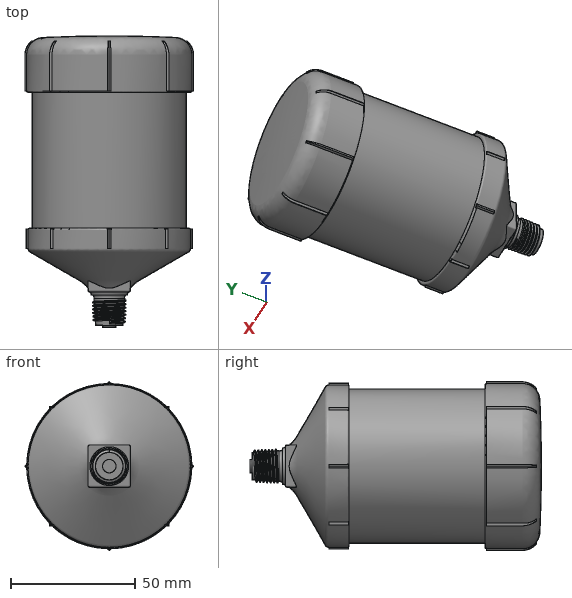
import cadquery as cq
import math

OVERALL_LENGTH = 117.35
TUBE_DIAMETER = 62.15

CAP_RADIUS = 33.25
CAP_BOTTOM_Y = 94.65
CAP_CROWN_DROP = 0.95
CAP_CORNER_RADIUS = 7.0
CAP_RIM_FILLET = 0.5
CAP_SHOULDER_Y = OVERALL_LENGTH - CAP_CROWN_DROP
CAP_CORNER_Y = CAP_SHOULDER_Y - CAP_CORNER_RADIUS

RING_RADIUS = 32.7
RING_TOP_Y = 39.95
RING_TOP_FILLET = 0.75
RING_CONE_FILLET = 1.63
CONE_ANGLE = 60.0
RING_CONE_CORNER_Y = 30.8

BLEND_START_RADIUS = 12.0
BLEND_RADIUS = 12.0
BLEND_END_ANGLE = 57.0

RIB_COUNT = 8
RIB_HEIGHT = 0.75
RIB_ROOT_DEPTH = 1.0
RING_RIB_TOP_GAP = 0.25
CAP_RIB_RISE = 5.9
CAP_RIB_SWEEP_ANGLE = 80.0

SQUARE_WIDTH = 17.0
SQUARE_BOTTOM_Y = 14.25
SQUARE_TOP_Y = 18.8
SQUARE_FILLET = 0.65

COLLAR_TOP_RADIUS = 7.8
COLLAR_RADIUS = 7.3
COLLAR_BOTTOM_Y = 13.0
COLLAR_FLARE_RADIUS = 1.6
NECK_TOP_RADIUS = 6.7
NECK_BOTTOM_Y = 11.6
NECK_GROOVE_RADIUS = 1.2
CORE_TOP_RADIUS = 6.25
CORE_END_RADIUS = 5.5
CORE_END_Y = 0.85
TIP_DIAMETER = 5.4

THREAD_PITCH = 1.411
THREAD_BOTTOM_Y = 1.95
THREAD_LENGTH = 9.25
THREAD_CREST_RADIUS = 6.55
THREAD_START_ANGLE = -90.0
THREAD_TAPER_PER_SIDE = 1 / 32
TOOTH_DEPTH = 1.1
TOOTH_ROOT_WIDTH = 1.25
TOOTH_CREST_WIDTH = 0.2


def edges_at(body, radius, y):
    """Circular edges of a revolved body at the given radius and level."""
    tolerance = 0.01
    low = (-radius - tolerance, y - tolerance, -radius - tolerance)
    high = (radius + tolerance, y + tolerance, radius + tolerance)
    return body.edges(cq.selectors.BoxSelector(low, high, boundingbox=True)).edges("%CIRCLE")


def cylinder(radius, bottom_y, top_y):
    sketch = cq.Workplane("XZ", origin=(0, bottom_y, 0)).circle(radius)
    return sketch.extrude(bottom_y - top_y)


def repeat_around_axis(rib):
    """Copies of one rib, equally spaced about the Y axis."""
    step = 360 / RIB_COUNT
    return [rib.rotate((0, 0, 0), (0, 1, 0), i * step) for i in range(RIB_COUNT)]


def make_cap():
    crown_radius = (CAP_RADIUS**2 + CAP_CROWN_DROP**2) / (2 * CAP_CROWN_DROP)
    mid_radius = CAP_RADIUS / 2
    mid_y = OVERALL_LENGTH - crown_radius + math.sqrt(crown_radius**2 - mid_radius**2)
    profile = (
        cq.Workplane("XY")
        .moveTo(0, CAP_BOTTOM_Y)
        .lineTo(CAP_RADIUS, CAP_BOTTOM_Y)
        .lineTo(CAP_RADIUS, CAP_SHOULDER_Y)
        .threePointArc((mid_radius, mid_y), (0, OVERALL_LENGTH))
        .close()
    )
    cap = profile.revolve(360, (0, 0, 0), (0, 1, 0))
    cap = edges_at(cap, CAP_RADIUS, CAP_SHOULDER_Y).fillet(CAP_CORNER_RADIUS)
    return edges_at(cap, CAP_RADIUS, CAP_BOTTOM_Y).fillet(CAP_RIM_FILLET)


def rib_section(wall_radius, y):
    """Triangle with its crest outward, placed on the +X side of a wall."""
    half_width = RIB_HEIGHT + RIB_ROOT_DEPTH
    return (
        cq.Workplane("XZ", origin=(wall_radius, y, 0))
        .moveTo(RIB_HEIGHT, 0)
        .lineTo(-RIB_ROOT_DEPTH, half_width)
        .lineTo(-RIB_ROOT_DEPTH, -half_width)
        .close()
    )


def make_cap_rib():
    """Ridge that runs up the cap wall and over its rounded corner."""
    start_y = CAP_BOTTOM_Y + CAP_RIM_FILLET
    corner_centre = CAP_RADIUS - CAP_CORNER_RADIUS

    def on_corner(degrees):
        angle = math.radians(degrees)
        x = corner_centre + CAP_CORNER_RADIUS * math.cos(angle)
        return x, CAP_CORNER_Y + CAP_CORNER_RADIUS * math.sin(angle)

    path = (
        cq.Workplane("XY")
        .moveTo(CAP_RADIUS, start_y)
        .lineTo(CAP_RADIUS, CAP_CORNER_Y)
        .threePointArc(on_corner(CAP_RIB_SWEEP_ANGLE / 2), on_corner(CAP_RIB_SWEEP_ANGLE))
    )
    rib = rib_section(CAP_RADIUS, start_y).sweep(path)
    return rib.intersect(cylinder(2 * CAP_RADIUS, start_y, CAP_CORNER_Y + CAP_RIB_RISE))


def make_ring_and_cone():
    cone_slope = math.tan(math.radians(CONE_ANGLE))
    blend_start_y = RING_CONE_CORNER_Y - (RING_RADIUS - BLEND_START_RADIUS) / cone_slope

    def on_blend(degrees):
        start = math.radians(90 - CONE_ANGLE)
        angle = math.radians(degrees)
        radius = BLEND_START_RADIUS - BLEND_RADIUS * (math.sin(angle) - math.sin(start))
        return radius, blend_start_y - BLEND_RADIUS * (math.cos(start) - math.cos(angle))

    blend_mid = on_blend((90 - CONE_ANGLE + BLEND_END_ANGLE) / 2)
    blend_end = on_blend(BLEND_END_ANGLE)
    profile = (
        cq.Workplane("XY")
        .moveTo(0, RING_TOP_Y)
        .lineTo(RING_RADIUS, RING_TOP_Y)
        .lineTo(RING_RADIUS, RING_CONE_CORNER_Y)
        .lineTo(BLEND_START_RADIUS, blend_start_y)
        .threePointArc(blend_mid, blend_end)
        .lineTo(0, blend_end[1])
        .close()
    )
    body = profile.revolve(360, (0, 0, 0), (0, 1, 0))
    body = edges_at(body, RING_RADIUS, RING_TOP_Y).fillet(RING_TOP_FILLET)
    return edges_at(body, RING_RADIUS, RING_CONE_CORNER_Y).fillet(RING_CONE_FILLET)


def make_ring_rib():
    """Ridge along the straight wall of the ring."""
    turn = math.radians(CONE_ANGLE)
    bottom_y = RING_CONE_CORNER_Y + RING_CONE_FILLET * math.tan(turn / 2)
    top_y = RING_TOP_Y - RING_RIB_TOP_GAP
    return rib_section(RING_RADIUS, bottom_y).extrude(bottom_y - top_y)


def make_wrench_square():
    sketch = cq.Workplane("XZ", origin=(0, SQUARE_BOTTOM_Y, 0)).rect(SQUARE_WIDTH, SQUARE_WIDTH)
    square = sketch.extrude(SQUARE_BOTTOM_Y - SQUARE_TOP_Y)
    return square.edges("|Y or <Y").fillet(SQUARE_FILLET)


def make_nozzle():
    profile = (
        cq.Workplane("XY")
        .moveTo(0, SQUARE_TOP_Y)
        .lineTo(COLLAR_TOP_RADIUS, SQUARE_TOP_Y)
        .lineTo(COLLAR_TOP_RADIUS, SQUARE_BOTTOM_Y)
        .radiusArc((COLLAR_RADIUS, COLLAR_BOTTOM_Y), -COLLAR_FLARE_RADIUS)
        .lineTo(NECK_TOP_RADIUS, COLLAR_BOTTOM_Y)
        .radiusArc((CORE_TOP_RADIUS, NECK_BOTTOM_Y), -NECK_GROOVE_RADIUS)
        .lineTo(CORE_END_RADIUS, CORE_END_Y)
        .lineTo(TIP_DIAMETER / 2, CORE_END_Y)
        .lineTo(TIP_DIAMETER / 2, 0)
        .lineTo(0, 0)
        .close()
    )
    return profile.revolve(360, (0, 0, 0), (0, 1, 0))


def make_thread():
    """Right-hand tapered helical tooth whose root is buried in the nozzle core."""
    root_radius = THREAD_CREST_RADIUS - TOOTH_DEPTH
    taper_angle = math.degrees(math.atan(THREAD_TAPER_PER_SIDE))
    helix = cq.Wire.makeHelix(THREAD_PITCH, THREAD_LENGTH, root_radius, angle=taper_angle)
    tooth = (
        cq.Workplane("XZ")
        .moveTo(root_radius, -TOOTH_ROOT_WIDTH / 2)
        .lineTo(THREAD_CREST_RADIUS, -TOOTH_CREST_WIDTH / 2)
        .lineTo(THREAD_CREST_RADIUS, TOOTH_CREST_WIDTH / 2)
        .lineTo(root_radius, TOOTH_ROOT_WIDTH / 2)
        .close()
    )
    thread = tooth.sweep(cq.Workplane(helix), isFrenet=True)
    thread = thread.rotate((0, 0, 0), (1, 0, 0), -90)
    thread = thread.rotate((0, 0, 0), (0, 1, 0), THREAD_START_ANGLE)
    return thread.translate((0, THREAD_BOTTOM_Y, 0))


tube = cylinder(TUBE_DIAMETER / 2, RING_TOP_Y - RING_TOP_FILLET, CAP_BOTTOM_Y + CAP_RIM_FILLET)
result = make_ring_and_cone().union(tube).union(make_cap())
for rib in repeat_around_axis(make_cap_rib()) + repeat_around_axis(make_ring_rib()):
    result = result.union(rib)
nozzle = make_nozzle().union(make_thread())
result = result.union(make_wrench_square()).union(nozzle)